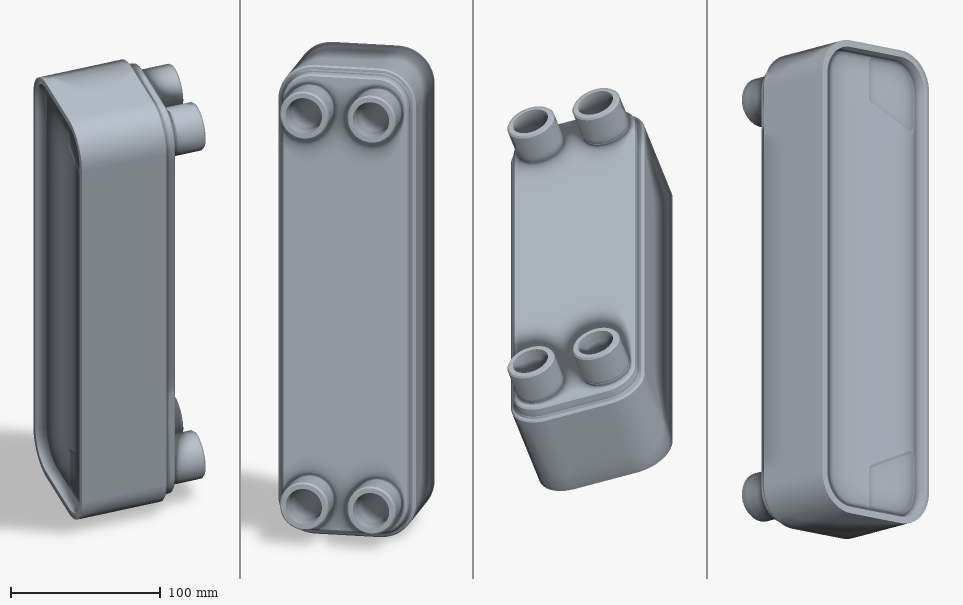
import cadquery as cq
import math


HEIGHT = 324.0
WIDTH = 94.0
CORNER_RADIUS = 25.0
BLOCK_DEPTH = 60.5
BLOCK_EDGE_BEVEL = 1.0

RECESS_DEPTH = 7.5
RECESS_RIM_INSET = 5.0
RECESS_FLOOR_INSET = 6.0
RIM_BEVEL_INSET = 4.5
RIM_BEVEL_DEPTH = 1.5

COVER_HEIGHT = 7.5
COVER_BASE_INSET = 3.5
COVER_BACK_INSET = 4.5
COVER_EDGE_BEVEL = 1.0
COVER_FOOT_INSET = 2.5
COVER_FOOT_HEIGHT = 1.3

POCKET_DEPTH = 0.5
POCKET_WALL_INSET = 1.5
POCKET_LEFT = 0.5
POCKET_LEFT_BOTTOM = 124.5
POCKET_RIGHT_BOTTOM = 107.0
POCKET_CORNER_RADIUS = 4.0

POCKET_SKIN = 0.5
PLATE_THICKNESS = POCKET_DEPTH + POCKET_SKIN

PORT_X = 23.0
PORT_Z = 135.0
PORT_RADIUS = 16.5
BORE_RADIUS = 12.3
PORT_BEVEL_LENGTH = 1.3
PORT_BEVEL_INSET = 1.0
LEFT_PORT_TIP = 92.0
RIGHT_PORT_TIP = 91.0
GROOVE_FROM_TIP = 20.5
GROOVE_WIDTH = 2.0
GROOVE_DEPTH = 0.3

plate_back = RECESS_DEPTH + PLATE_THICKNESS
cover_back = BLOCK_DEPTH + COVER_HEIGHT
port_places = [
    (side * PORT_X, level * PORT_Z, tip)
    for side, tip in ((-1, LEFT_PORT_TIP), (1, RIGHT_PORT_TIP))
    for level in (-1, 1)
]


def rounded_outline(y, inset):
    """Rounded rectangle at depth y, parallel to the block outline."""
    outline = cq.Sketch().rect(WIDTH - 2 * inset, HEIGHT - 2 * inset)
    outline = outline.vertices().fillet(CORNER_RADIUS - inset)
    return cq.Workplane("XZ", origin=(0, y, 0)).placeSketch(outline)


def rounded_bar(y_front, y_back, front_inset, back_inset):
    """Bar with a rounded rectangular section, tapering evenly from one inset to the other."""
    length = y_back - y_front
    taper = math.degrees(math.atan((back_inset - front_inset) / length))
    return rounded_outline(y_front, front_inset).extrude(-length, taper=taper)


def bores():
    """Bores from the back of the plate through the block and the cover."""
    tools = cq.Workplane("XZ", origin=(0, plate_back, 0))
    tools = tools.pushPoints([(x, z) for x, z, tip in port_places])
    return tools.circle(BORE_RADIUS).extrude(plate_back - cover_back)


def make_block():
    body = rounded_bar(0, BLOCK_DEPTH, 0, 0).faces(">Y").chamfer(BLOCK_EDGE_BEVEL)
    rim_bevel = rounded_bar(0, RIM_BEVEL_DEPTH, RIM_BEVEL_INSET, RECESS_RIM_INSET)
    recess = rounded_bar(RIM_BEVEL_DEPTH, RECESS_DEPTH, RECESS_RIM_INSET, RECESS_FLOOR_INSET)
    plate_seat = rounded_bar(RECESS_DEPTH, plate_back, RECESS_FLOOR_INSET, RECESS_FLOOR_INSET)
    return body.cut(rim_bevel).cut(recess).cut(plate_seat).cut(bores())


def make_cover():
    body = rounded_bar(BLOCK_DEPTH, cover_back, COVER_BASE_INSET, COVER_BACK_INSET)
    body = body.faces(">Y").chamfer(COVER_EDGE_BEVEL)
    foot = rounded_bar(BLOCK_DEPTH, BLOCK_DEPTH + COVER_FOOT_HEIGHT, COVER_FOOT_INSET, COVER_BASE_INSET)
    return body.union(foot).cut(bores())


def make_upper_pocket():
    """Shallow sloping-walled pocket in the upper right corner of the plate."""
    right = WIDTH / 2 - RECESS_FLOOR_INSET
    top = HEIGHT / 2 - RECESS_FLOOR_INSET
    corners = [
        (POCKET_LEFT, top),
        (right, top),
        (right, POCKET_RIGHT_BOTTOM),
        (POCKET_LEFT, POCKET_LEFT_BOTTOM),
    ]
    taper = math.degrees(math.atan(POCKET_WALL_INSET / POCKET_DEPTH))
    blank = cq.Workplane("XZ").polyline(corners).close().extrude(-POCKET_DEPTH)
    blank = blank.edges("|Y").edges(">X and >Z").fillet(CORNER_RADIUS - RECESS_FLOOR_INSET)
    blank = blank.edges("|Y").edges("<X or <Z").fillet(POCKET_CORNER_RADIUS)
    outline = blank.faces("<Y").wires().val()
    pocket = cq.Workplane("XZ").add(outline).toPending().extrude(-POCKET_DEPTH, taper=taper)
    return pocket.translate((0, RECESS_DEPTH, 0))


def make_plate():
    body = rounded_bar(RECESS_DEPTH, plate_back, RECESS_FLOOR_INSET, RECESS_FLOOR_INSET)
    upper_pocket = make_upper_pocket()
    return body.cut(upper_pocket).cut(upper_pocket.mirror("XY"))


def make_port(x, z, tip):
    """Tube standing on the cover, revolved about Y and moved into place."""
    groove_back = tip - GROOVE_FROM_TIP
    groove_front = groove_back - GROOVE_WIDTH
    profile = [
        (-BORE_RADIUS, cover_back),
        (-PORT_RADIUS, cover_back),
        (-PORT_RADIUS, groove_front),
        (-PORT_RADIUS + GROOVE_DEPTH, groove_front),
        (-PORT_RADIUS + GROOVE_DEPTH, groove_back),
        (-PORT_RADIUS, groove_back),
        (-PORT_RADIUS, tip - PORT_BEVEL_LENGTH),
        (-PORT_RADIUS + PORT_BEVEL_INSET, tip),
        (-BORE_RADIUS, tip),
    ]
    tube = cq.Workplane("XY").polyline(profile).close().revolve(360, (0, 0), (0, 1))
    return tube.translate((x, 0, z))


block = make_block()
cover = make_cover()
plate = make_plate()
ports = [make_port(x, z, tip) for x, z, tip in port_places]

result = cq.Compound.makeCompound(
    [block.val(), cover.val(), plate.val(), *[port.val() for port in ports]]
)